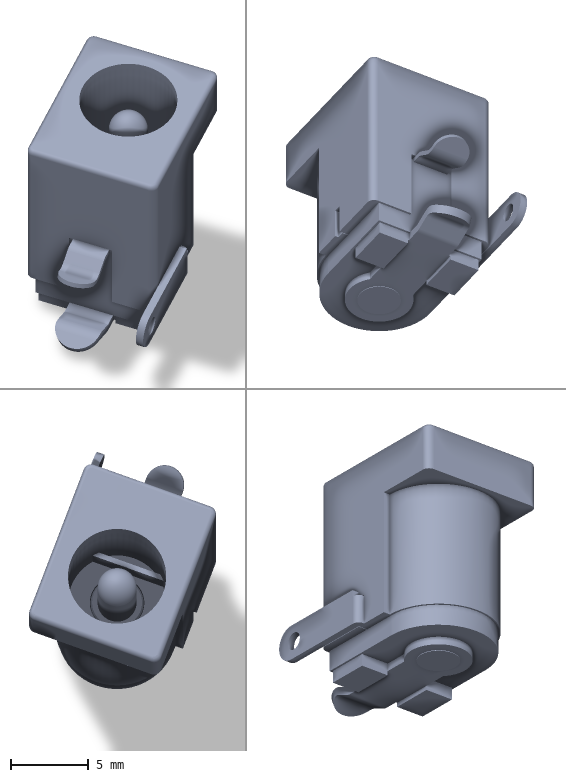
import cadquery as cq
import math


housing_width = 9.0
housing_back = 4.5
housing_front = -6.5
housing_height = 12.0
head_height = 3.3
corner_radius = 0.5
top_edge_radius = 0.3
barrel_radius = 4.0
socket_diameter = 6.3
socket_floor_z = 5.5
collar_hole_diameter = 3.5

base_radius = 3.85
base_height = 1.45
base_front = -6.35
base_bottom_z = -base_height
tongue_half_width = 1.5
tongue_height = 4.37
tongue_thickness = 1.0
foot_height = 0.85
foot_inner_x = 1.6
foot_outer_x = 3.7
foot_front = -6.2
foot_length = 3.0

pin_diameter = 2.5
pin_tip_z = 10.5
collar_diameter = 3.4
collar_chamfer = 0.1
rivet_diameter = 2.8
rivet_protrusion = 0.04

pin_strip_thickness = 0.55
pin_disc_radius = 2.2
pin_tab_half_width = 1.5
pin_tab_bend_y = -7.15
pin_tab_rise_angle = 22
pin_tab_fall_angle = 24
pin_tab_foot_bend_radius = 0.5
pin_tab_crest_bend_radius = 0.9
pin_tab_rise_length = 1.03
pin_tab_end_length = 0.96

spring_root_height = 0.53
spring_root_radius = 0.4
spring_thickness = 0.3
spring_tab_half_width = 1.25
spring_tab_z = 4.62
spring_tab_bend_y = -6.92
spring_tab_fall_angle = 30
spring_tab_rise_angle = 25
spring_tab_root_bend_radius = 0.65
spring_tab_trough_bend_radius = 0.9
spring_tab_fall_length = 0.866
spring_tab_end_length = 1.21
blade_back = -2.02
blade_thickness = 0.33
blade_gap = 0.06
blade_half_width = 2.42
blade_top_z = 7.0
spring_top_z = tongue_height + spring_root_height

side_thickness = 0.5
side_gap = 0.05
side_bar_recess = 0.25
side_bend_radius = 0.48
side_bar_back = -2.0
side_bar_height = 2.0
side_slot_clearance_y = 0.05
side_slot_clearance_z = 0.1
side_plate_height = 2.45
side_plate_tip = -10.01
side_hole_diameter = 1.2
side_hole_y = -8.5
side_bar_front = side_bar_back - side_thickness
side_plate_inner_x = housing_width / 2 + side_gap
side_plate_outer_x = side_plate_inner_x + side_thickness


def block(x_range, y_range, z_range):
    """Axis-aligned box between pairs of limits."""
    limits = (x_range, y_range, z_range)
    sizes = [high - low for low, high in limits]
    corner = [low for low, high in limits]
    return cq.Workplane("XY").box(*sizes, centered=False).translate(tuple(corner))


def cylinder(diameter, bottom_z, top_z):
    """Round bar about the pin axis."""
    return cq.Workplane("XY", origin=(0, 0, bottom_z)).circle(diameter / 2).extrude(top_z - bottom_z)


def round_backed_prism(radius, half_width, front_y, bottom_z, top_z):
    """Straight-sided prism in front of the pin axis with a half cylinder behind it."""
    prism = block((-half_width, half_width), (front_y, 0), (bottom_z, top_z))
    return prism.union(cylinder(2 * radius, bottom_z, top_z))


def bent_tab(start, steps, thickness, half_width):
    """Strip that starts toward -Y and follows (length, bend radius, bend angle) steps.

    Positive angles bend upward, radii are those of the middle of the sheet, and a zero angle is no
    bend. The free end is a half circle, cut square to the sheet there.
    """
    middle = start
    heading = 0.0
    half = thickness / 2

    def beside(point, angle, offset):
        return (point[0] + offset * math.sin(angle), point[1] + offset * math.cos(angle))

    def ahead(point, angle, distance):
        return (point[0] - distance * math.cos(angle), point[1] + distance * math.sin(angle))

    pieces = []
    for length, radius, bend in steps:
        corner = ahead(middle, heading, length)
        pieces.append(
            cq.Workplane("YZ")
            .moveTo(*beside(middle, heading, half))
            .lineTo(*beside(corner, heading, half))
            .lineTo(*beside(corner, heading, -half))
            .lineTo(*beside(middle, heading, -half))
            .close()
        )
        middle = corner
        if bend == 0:
            continue
        toward_pivot = math.copysign(radius, bend)
        pivot = beside(middle, heading, toward_pivot)
        halfway = heading + math.radians(bend) / 2
        turned = heading + math.radians(bend)
        upper = half - toward_pivot
        lower = -half - toward_pivot
        pieces.append(
            cq.Workplane("YZ")
            .moveTo(*beside(pivot, heading, upper))
            .threePointArc(beside(pivot, halfway, upper), beside(pivot, turned, upper))
            .lineTo(*beside(pivot, turned, lower))
            .threePointArc(beside(pivot, halfway, lower), beside(pivot, heading, lower))
            .close()
        )
        heading = turned
        middle = beside(pivot, heading, -toward_pivot)

    tab = pieces[0].extrude(half_width, both=True)
    for piece in pieces[1:]:
        tab = tab.union(piece.extrude(half_width, both=True))

    tip_center = ahead(middle, heading, -half_width)
    end_plane = cq.Plane(
        origin=(0, *tip_center),
        xDir=(1, 0, 0),
        normal=(0, math.sin(heading), math.cos(heading)),
    )
    tab_length = start[0] - middle[0]
    rounded_outline = (
        cq.Workplane(end_plane)
        .moveTo(half_width, 0)
        .threePointArc((0, -half_width), (-half_width, 0))
        .lineTo(-half_width, 2 * tab_length)
        .lineTo(half_width, 2 * tab_length)
        .close()
        .extrude(2 * tab_length, both=True)
    )
    return tab.intersect(rounded_outline)


def make_spring_root():
    """Blade standing in the socket and the flat strip that leads from it to the front slot."""
    root = block(
        (-tongue_half_width, tongue_half_width),
        (base_front, blade_back),
        (tongue_height, spring_top_z),
    )
    root = root.faces("<Y").edges(">Z").fillet(spring_root_radius)
    blade = block(
        (-blade_half_width, blade_half_width),
        (blade_back - blade_thickness, blade_back),
        (tongue_height, blade_top_z),
    )
    return root.union(blade)


def make_spring():
    tab_start_y = base_front + spring_root_radius
    tab = bent_tab(
        (tab_start_y, spring_tab_z),
        [
            (tab_start_y - spring_tab_bend_y, spring_tab_root_bend_radius, -spring_tab_fall_angle),
            (
                spring_tab_fall_length,
                spring_tab_trough_bend_radius,
                spring_tab_fall_angle + spring_tab_rise_angle,
            ),
            (spring_tab_end_length, 0, 0),
        ],
        spring_thickness,
        spring_tab_half_width,
    )
    return make_spring_root().union(tab)


def make_pin():
    shaft = cylinder(pin_diameter, socket_floor_z, pin_tip_z - pin_diameter / 2)
    dome = cq.Workplane("XY").sphere(pin_diameter / 2).translate((0, 0, pin_tip_z - pin_diameter / 2))
    collar = cylinder(collar_diameter, base_bottom_z, socket_floor_z)
    collar = collar.faces(">Z").edges().chamfer(collar_chamfer)
    rivet_bottom_z = base_bottom_z - pin_strip_thickness - rivet_protrusion
    rivet = cylinder(rivet_diameter, rivet_bottom_z, base_bottom_z)
    return collar.union(shaft).union(dome).union(rivet)


def make_pin_terminal():
    strip_bottom_z = base_bottom_z - pin_strip_thickness
    strip = round_backed_prism(pin_disc_radius, foot_inner_x, foot_front, strip_bottom_z, base_bottom_z)
    tab = bent_tab(
        (foot_front, base_bottom_z - pin_strip_thickness / 2),
        [
            (foot_front - pin_tab_bend_y, pin_tab_foot_bend_radius, pin_tab_rise_angle),
            (
                pin_tab_rise_length,
                pin_tab_crest_bend_radius,
                -pin_tab_rise_angle - pin_tab_fall_angle,
            ),
            (pin_tab_end_length, 0, 0),
        ],
        pin_strip_thickness,
        pin_tab_half_width,
    )
    return strip.union(tab).cut(cylinder(rivet_diameter, strip_bottom_z, base_bottom_z))


def make_side_terminal():
    """Bar across the housing, bent forward into a plate with a rounded, drilled end."""
    tip_radius = side_plate_height / 2
    tip_center_y = side_plate_tip + tip_radius
    plate = (
        cq.Workplane("YZ", origin=(side_plate_inner_x, 0, 0))
        .moveTo(side_bar_front, 0)
        .lineTo(tip_center_y, 0)
        .threePointArc((side_plate_tip, tip_radius), (tip_center_y, side_plate_height))
        .lineTo(side_bar_front, side_plate_height)
        .close()
        .extrude(side_thickness)
    )
    hole = (
        cq.Workplane("YZ", origin=(side_plate_inner_x, side_hole_y, tip_radius))
        .circle(side_hole_diameter / 2)
        .extrude(side_thickness)
    )
    bar = block(
        (-housing_width / 2 + side_bar_recess, side_plate_outer_x),
        (side_bar_front, side_bar_back),
        (0, side_bar_height),
    )
    bar = bar.edges("|Z and >X and >Y").fillet(side_bend_radius)
    return bar.union(plate).cut(hole)


def make_insert():
    base = round_backed_prism(base_radius, base_radius, base_front, base_bottom_z, 0)
    tongue = block(
        (-tongue_half_width, tongue_half_width),
        (base_front, base_front + tongue_thickness),
        (0, tongue_height),
    )
    insert = base.union(tongue)
    for left_x in (-foot_outer_x, foot_inner_x):
        foot = block(
            (left_x, left_x + foot_outer_x - foot_inner_x),
            (foot_front, foot_front + foot_length),
            (base_bottom_z - foot_height, base_bottom_z),
        )
        insert = insert.union(foot)
    return insert.cut(cylinder(collar_diameter, base_bottom_z, 0))


def make_housing_shell():
    """Rounded block with an overhanging head, and a half-round barrel under the head."""
    half_width = housing_width / 2
    shell = block((-half_width, half_width), (housing_front, housing_back), (0, housing_height))
    shell = shell.edges("|Z").fillet(corner_radius)
    shell = shell.faces(">Z").edges().fillet(top_edge_radius)
    under_head = block(
        (-half_width, half_width),
        (0, housing_back),
        (0, housing_height - head_height),
    )
    barrel = cylinder(2 * barrel_radius, 0, housing_height - head_height)
    return shell.cut(under_head).union(barrel)


def make_housing():
    socket = cylinder(socket_diameter, socket_floor_z, housing_height)
    collar_hole = cylinder(collar_hole_diameter, 0, socket_floor_z)
    tongue_slot = block(
        (-tongue_half_width, tongue_half_width),
        (housing_front, base_front + tongue_thickness),
        (0, tongue_height),
    )
    spring_slot = block(
        (-tongue_half_width, tongue_half_width),
        (housing_front, blade_back),
        (tongue_height, spring_top_z),
    )
    blade_slot = block(
        (-blade_half_width, blade_half_width),
        (blade_back - blade_thickness - blade_gap, blade_back),
        (tongue_height, blade_top_z),
    )
    side_slot = block(
        (-housing_width / 2, housing_width / 2),
        (side_bar_front - side_slot_clearance_y, side_bar_back),
        (0, side_bar_height + side_slot_clearance_z),
    )
    housing = make_housing_shell()
    for opening in (socket, collar_hole, tongue_slot, spring_slot, blade_slot, side_slot):
        housing = housing.cut(opening)
    return housing


housing = make_housing()
insert = make_insert()
pin = make_pin()
pin_terminal = make_pin_terminal()
spring = make_spring()
side_terminal = make_side_terminal()

result = cq.Compound.makeCompound(
    [
        housing.solids().val(),
        insert.solids().val(),
        pin.solids().val(),
        pin_terminal.solids().val(),
        spring.solids().val(),
        side_terminal.solids().val(),
    ]
)